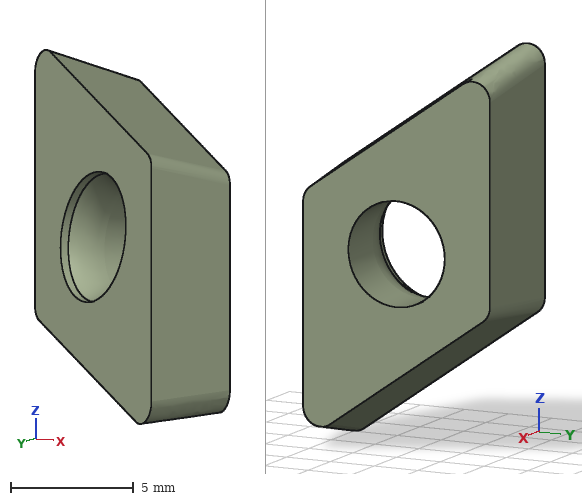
import cadquery as cq
import math

inscribed_diameter = 9.52
thickness = 3.97
acute_angle = 55.0
clearance_angle = 7.0
nose_radius = 0.8

mouth_diameter = 5.34
seat_diameter = 5.25
mouth_depth = 0.34
bore_diameter = 4.4
seat_end_depth = 1.79


def rhombus_corners(half_width):
    """Corners (Y, Z) of a rhombus whose inscribed circle has the given radius."""
    angle = math.radians(acute_angle)
    side = 2 * half_width / math.sin(angle)
    acute_z = side * (1 + math.cos(angle)) / 2
    obtuse_z = acute_z - side * math.cos(angle)
    return [
        (half_width, acute_z),
        (-half_width, obtuse_z),
        (-half_width, -acute_z),
        (half_width, -obtuse_z),
    ]


def make_body():
    large_half = inscribed_diameter / 2
    small_half = large_half - thickness * math.tan(math.radians(clearance_angle))
    body = (
        cq.Workplane("YZ")
        .polyline(rhombus_corners(large_half))
        .close()
        .workplane(offset=thickness)
        .polyline(rhombus_corners(small_half))
        .close()
        .loft(ruled=True)
    )
    corner_edges = body.edges("not(#X)")
    return corner_edges.fillet(nose_radius)


def make_hole():
    """Solid of revolution about X; the seat arc runs tangent into the bore."""
    mouth_radius = mouth_diameter / 2
    seat_start_radius = seat_diameter / 2
    bore_radius = bore_diameter / 2
    seat_length = seat_end_depth - mouth_depth
    seat_step = seat_start_radius - bore_radius
    seat_arc_radius = (seat_length**2 + seat_step**2) / (2 * seat_step)
    half_sweep = math.asin(seat_length / seat_arc_radius) / 2
    seat_middle = (
        seat_end_depth - seat_arc_radius * math.sin(half_sweep),
        bore_radius + seat_arc_radius * (1 - math.cos(half_sweep)),
    )
    return (
        cq.Workplane("XY")
        .lineTo(0, mouth_radius)
        .lineTo(mouth_depth, seat_start_radius)
        .threePointArc(seat_middle, (seat_end_depth, bore_radius))
        .lineTo(thickness, bore_radius)
        .lineTo(thickness, 0)
        .close()
        .revolve(360, (0, 0, 0), (1, 0, 0))
    )


result = make_body().cut(make_hole())